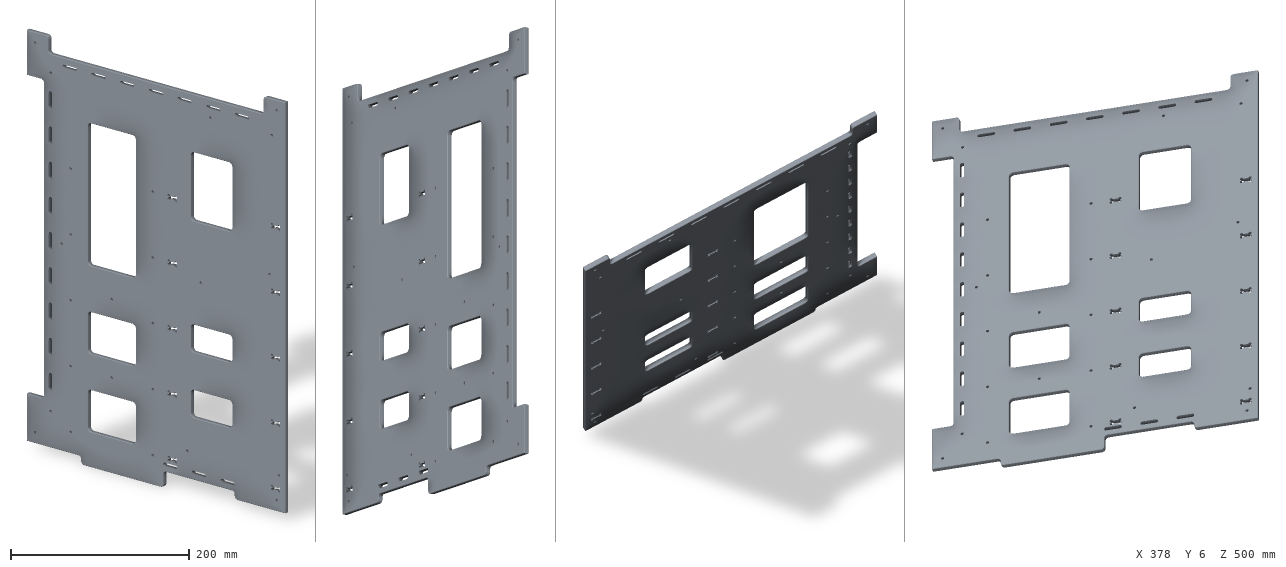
import cadquery as cq
width = 378.0
height = 500.0
thickness = 6.0
edge_chamfer = 0.5

left_recess_x = 25.0
left_recess_bottom = 66.5
left_recess_top = 446.5
top_recess_z = 479.0
top_tab_width = 32.0
lower_edge_z = 10.0
foot_left = 79.5
foot_right = 200.0
bottom_recess_z = 19.5
bottom_recess_right = 304.0
outline_radius = 4.0

window_radius = 5.0
left_windows_x = (89.5, 159.5)
right_windows_x = (240.0, 300.5)
left_windows_z = [(42.0, 92.0), (135.0, 185.0), (240.0, 410.0)]
right_windows_z = [(93.5, 126.5), (171.5, 204.5), (328.0, 410.0)]

slot_length = 20.5
slot_pitch = 42.0
side_slot_width = 5.0
top_slot_width = 4.0
bottom_slot_width = 4.5
side_slot_x = 35.0
side_slot_first_z = 88.5
side_slot_count = 9
top_slot_z = 469.0
top_slot_count = 7
top_slot_first_x = width / 2 - slot_pitch * (top_slot_count - 1) / 2
bottom_slot_z = 28.0
bottom_slot_first_x = 210.0
bottom_slot_count = 3

socket_length = 10.0
socket_width = 4.0
relief_diameter = 3.5
socket_columns_x = (213.0, 364.0)
socket_first_z = 36.0
socket_pitch = 78.0
socket_count = 5

hole_diameter = 3.5
tab_hole_inset = 12.5
grid_columns_x = (64.5, 184.5)
grid_first_z = 35.0
grid_pitch = 78.5
grid_rows = 5
tab_holes = [
    (x, z)
    for x in (tab_hole_inset, width - tab_hole_inset)
    for z in (lower_edge_z + tab_hole_inset, height - tab_hole_inset)
]
single_holes = [
    (35.5, 456.5),
    (268.5, 456.5),
    (358.5, 456.5),
    (355.0, 290.0),
    (254.5, 256.5),
    (51.5, 256.5),
    (124.5, 207.0),
    (124.5, 113.5),
    (35.0, 53.0),
    (235.0, 51.5),
    (369.0, 53.0),
]


def front_sketch():
    return cq.Workplane("XZ")


def prism(sketch):
    return sketch.extrude(-thickness)


def plate_blank():
    right_tab_x = width - top_tab_width
    corners = [
        (0, lower_edge_z),
        (foot_left, lower_edge_z),
        (foot_left, 0),
        (foot_right, 0),
        (foot_right, bottom_recess_z),
        (bottom_recess_right, bottom_recess_z),
        (bottom_recess_right, lower_edge_z),
        (width, lower_edge_z),
        (width, height),
        (right_tab_x, height),
        (right_tab_x, top_recess_z),
        (top_tab_width, top_recess_z),
        (top_tab_width, height),
        (0, height),
        (0, left_recess_top),
        (left_recess_x, left_recess_top),
        (left_recess_x, left_recess_bottom),
        (0, left_recess_bottom),
    ]
    blank = prism(front_sketch().polyline(corners).close())
    margin = 1.0
    inner = cq.selectors.BoxSelector(
        (margin, -margin, -margin),
        (width - margin, thickness + margin, height + margin),
    )
    return blank.edges("|Y").edges(inner).fillet(outline_radius)


def cut_windows(plate):
    columns = ((left_windows_x, left_windows_z), (right_windows_x, right_windows_z))
    for (left, right), spans in columns:
        for bottom, top in spans:
            sketch = front_sketch().center((left + right) / 2, (bottom + top) / 2)
            window = prism(sketch.rect(right - left, top - bottom))
            plate = plate.cut(window.edges("|Y").fillet(window_radius))
    return plate


def slots(centers, slot_width, angle):
    return prism(front_sketch().pushPoints(centers).slot2D(slot_length, slot_width, angle))


def side_slots():
    centers = [(side_slot_x, side_slot_first_z + i * slot_pitch) for i in range(side_slot_count)]
    return slots(centers, side_slot_width, 90)


def top_slots():
    centers = [(top_slot_first_x + i * slot_pitch, top_slot_z) for i in range(top_slot_count)]
    return slots(centers, top_slot_width, 0)


def bottom_slots():
    centers = [(bottom_slot_first_x + i * slot_pitch, bottom_slot_z) for i in range(bottom_slot_count)]
    return slots(centers, bottom_slot_width, 0)


def socket(x, z):
    body = prism(front_sketch().center(x, z).rect(socket_length, socket_width))
    corners = front_sketch().center(x, z).rect(socket_length, socket_width, forConstruction=True)
    return body.union(prism(corners.vertices().circle(relief_diameter / 2)))


def cut_sockets(plate):
    for x in socket_columns_x:
        for i in range(socket_count):
            plate = plate.cut(socket(x, socket_first_z + i * socket_pitch))
    return plate


def screw_holes():
    grid = [(x, grid_first_z + i * grid_pitch) for x in grid_columns_x for i in range(grid_rows)]
    centers = grid + tab_holes + single_holes
    return prism(front_sketch().pushPoints(centers).circle(hole_diameter / 2))


def build_plate():
    plate = cut_windows(plate_blank())
    plate = plate.faces("<Y or >Y").edges().chamfer(edge_chamfer)
    for cutter in (side_slots(), top_slots(), bottom_slots(), screw_holes()):
        plate = plate.cut(cutter)
    return cut_sockets(plate)


result = build_plate()